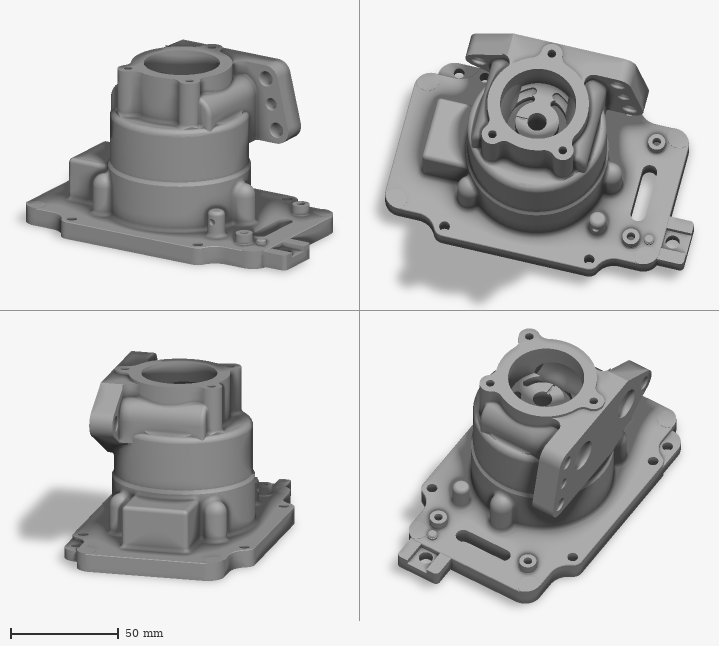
import cadquery as cq
import math

TOTAL_HEIGHT = 80.0
OVERLAP = 1.0
SEAM_TOLERANCE = 0.05

PLATE_HEIGHT = 8.5
PLATE_HALF_LENGTH = 66.0
PLATE_HALF_WIDTH = 44.0
SHOULDER_Y = 35.5
PLATE_CORNER_RADIUS = 8.0
PLATE_EDGE_CHAMFER = 0.3
SHOULDER_END_X = 48.2
SCREW_X = 34.8
EAR_RADIUS = 5.0
SCREW_Y = PLATE_HALF_WIDTH - EAR_RADIUS
SCREW_HOLE_RADIUS = 2.5
PAD_X = 60.5
PAD_Y = 31.4
PAD_RADIUS = 5.4
PAD_HEIGHT = 0.2
SLOT_X = 51.4
SLOT_LENGTH = 29.1
SLOT_WIDTH = 7.1

LUG_LEFT_X = -56.7
LUG_CORNER_RADIUS = 8.0
LUG_BOTTOM = 1.6
LUG_TOP = 6.6
LUG_HOLE_X = -47.3

TAB_END_X = 78.0
TAB_Y_MIN = -31.0
TAB_Y_MAX = -8.4
TAB_BOTTOM = 0.9
TAB_TOP = 8.3
TAB_CORNER_RADIUS = 2.0
TAB_CHANNEL_Y_MIN = -25.0
TAB_CHANNEL_Y_MAX = -14.5
TAB_CHANNEL_DEPTH = 2.5
TAB_HOLE_X = 70.2
TAB_HOLE_RADIUS = 3.3

LOWER_RADIUS = 33.5
UPPER_RADIUS = 32.5
LOWER_TOP = 30.8
UPPER_START = 32.6
BODY_TOP = 57.8
BODY_EDGE_FILLET = 3.0
BASE_FILLET = 2.0

BOX_LEFT_X = -51.7
BOX_RIGHT_X = -20.0
BOX_HALF_WIDTH = 16.0
BOX_TOP = 28.7
BOX_FILLET = 2.0

DOME_RADIUS = 5.4
DOME_CENTER_Z = 22.1
DOME_CIRCLE_RADIUS = 35.4
DOME_ANGLES = (0.0, 140.0, 220.0)

POST_X = 34.8
POST_Y = -22.9
POST_RADIUS = 4.0
POST_TOP = 20.8
POST_EDGE_FILLET = 1.9
POST_HOLE_Z = 15.9
POST_HOLE_RADIUS = 1.6

BOSS_X = 51.4
BOSS_Y = 24.8
BOSS_RADIUS = 4.0
BOSS_TOP = 13.2
BOSS_HOLE_RADIUS = 2.0
BOSS_FLARE = 0.5
PIN_X = 59.6
PIN_Y = -22.9
PIN_RADIUS = 2.3
PIN_TOP = 11.0
PIN_NECK_RADIUS = 1.9
PIN_NECK_BOTTOM = 9.5
PIN_NECK_HEIGHT = 0.6
PIN_EDGE_CHAMFER = 0.5

TOWER_Y = 2.0
TOWER_CENTER = (0.0, TOWER_Y)
TOWER_RADIUS = 23.75
TOWER_LUG_CIRCLE_RADIUS = 26.35
TOWER_LUG_RADIUS = 5.0
TOWER_LUG_ANGLES = (90.0, -50.0, -130.0)
TOWER_LUG_BLEND = 5.0
TOWER_LUG_HOLE_RADIUS = 2.0
TOWER_LUG_HOLE_DEPTH = 12.0
TOWER_BASE_FILLET = 1.8
SADDLE_FILLET = 0.8
FOOT_OVERHANG = 0.5

FLANGE_FRONT_Y = 23.4
FLANGE_BACK_Y = 34.6
FLANGE_EDGE_RADIUS = 6.6
FLANGE_LEFT_HOLE = (-33.8, 63.3)
FLANGE_TOP_HOLE = (32.9, 71.9)
FLANGE_MIDDLE_HOLE = (35.8, 59.9)
FLANGE_LOWER_HOLE = (38.7, 47.6)
FLANGE_TOP_Z = FLANGE_TOP_HOLE[1] + FLANGE_EDGE_RADIUS
FLANGE_BOTTOM_Z = FLANGE_LOWER_HOLE[1] - FLANGE_EDGE_RADIUS
FLANGE_HOLE_RADIUS = 3.4
FLANGE_MIDDLE_HOLE_RADIUS = 2.7
FLANGE_HOLE_CHAMFER = 0.35
FLANGE_BODY_FILLET = 1.5
FLANGE_WALL_FILLET = 0.8
FLANGE_SLOPE_ANGLE = 29.0
FLANGE_TOWER_BLEND = 4.4

ARCH_HALF_WIDTH = 27.7
ARCH_RADIUS = 9.0
ARCH_AXIS_X = ARCH_HALF_WIDTH - ARCH_RADIUS
ARCH_AXIS_Z = 63.3
ARCH_FRONT_Y = -17.5
ARCH_END_FILLET = 2.0

BORE_RADIUS = 17.8
BORE_FLOOR_Z = ARCH_AXIS_Z
SHAFT_HOLE_RADIUS = 4.5
PASSAGE_RADIUS = 7.4
PASSAGE_FRONT_Y = -14.0
CRESCENT_INNER_RADIUS = 10.2
CRESCENT_OUTER_RADIUS = 14.0
CRESCENT_START_ANGLE = 118.0
CRESCENT_END_ANGLE = 250.0
CRESCENT_DEPTH = 6.0
LEDGE_INNER_RADIUS = 12.0
LEDGE_OUTER_RADIUS = 15.8
LEDGE_START_ANGLE = 114.0
LEDGE_END_ANGLE = 160.0
LEDGE_DEPTH = 2.0
NOTCH_WIDTH = 1.3
NOTCH_DEPTH = 1.0


def polar(radius, angle, center=(0.0, 0.0)):
    a = math.radians(angle)
    return (center[0] + radius * math.cos(a), center[1] + radius * math.sin(a))


def cylinder(center, radius, bottom, top):
    """Vertical cylinder between two heights."""
    return cq.Workplane("XY", origin=(center[0], center[1], bottom)).circle(radius).extrude(top - bottom)


def box(x_min, x_max, y_min, y_max, z_min, z_max):
    size = (x_max - x_min, y_max - y_min, z_max - z_min)
    return cq.Workplane("XY").box(*size, centered=False).translate((x_min, y_min, z_min))


def along_y(front_y, back_y):
    """XZ sketch plane at a given Y, with the length that reaches back to another Y."""
    return cq.Workplane("XZ", origin=(0, front_y, 0)), front_y - back_y


def arc_slot(center, inner, outer, start, end, top, depth):
    """Round-ended arc slot sunk from a given height."""
    middle = (inner + outer) / 2
    half_width = (outer - inner) / 2
    mid_angle = (start + end) / 2
    sketch = (
        cq.Workplane("XY", origin=(0, 0, top - depth))
        .moveTo(*polar(outer, start, center))
        .threePointArc(polar(outer, mid_angle, center), polar(outer, end, center))
        .lineTo(*polar(inner, end, center))
        .threePointArc(polar(inner, mid_angle, center), polar(inner, start, center))
        .close()
    )
    slot = sketch.extrude(depth)
    for angle in (start, end):
        slot = slot.union(cylinder(polar(middle, angle, center), half_width, top - depth, top))
    return slot


def plate_blank(height):
    """Plate outline: rounded rectangle whose long sides step out through S-curves to the screw ears."""
    rise = SCREW_Y - SHOULDER_Y
    run = SHOULDER_END_X - SCREW_X
    hollow = (run**2 + rise**2 - EAR_RADIUS**2) / (2 * (EAR_RADIUS + rise))
    hollow_y = SHOULDER_Y + hollow
    share = EAR_RADIUS / (EAR_RADIUS + hollow)
    join = (SCREW_X + share * run, SCREW_Y + share * (hollow_y - SCREW_Y))
    hollow_angle = (270 + math.degrees(math.atan2(join[1] - hollow_y, join[0] - SHOULDER_END_X)) % 360) / 2
    hollow_mid = polar(hollow, hollow_angle, (SHOULDER_END_X, hollow_y))
    ear_angle = (90 + math.degrees(math.atan2(join[1] - SCREW_Y, join[0] - SCREW_X))) / 2
    ear_mid = polar(EAR_RADIUS, ear_angle, (SCREW_X, SCREW_Y))

    corner_x = PLATE_HALF_LENGTH - PLATE_CORNER_RADIUS
    corner_y = SHOULDER_Y - PLATE_CORNER_RADIUS
    corner_mid = polar(PLATE_CORNER_RADIUS, 45, (corner_x, corner_y))
    quarter = (
        cq.Workplane("XY")
        .lineTo(PLATE_HALF_LENGTH, 0)
        .lineTo(PLATE_HALF_LENGTH, corner_y)
        .threePointArc(corner_mid, (corner_x, SHOULDER_Y))
        .lineTo(SHOULDER_END_X, SHOULDER_Y)
        .threePointArc(hollow_mid, join)
        .threePointArc(ear_mid, (SCREW_X, PLATE_HALF_WIDTH))
        .lineTo(0, PLATE_HALF_WIDTH)
        .close()
        .extrude(height)
    )
    half = quarter.union(quarter.mirror("YZ"))
    return half.union(half.mirror("XZ")).clean()


def base_blank():
    """Plate outline with its chamfered top edge, without pads, lug or tab."""
    return plate_blank(PLATE_HEIGHT).faces(">Z").edges().chamfer(PLATE_EDGE_CHAMFER)


def rear_lug():
    lug = box(LUG_LEFT_X, -SCREW_X, SHOULDER_Y - OVERLAP, PLATE_HALF_WIDTH, LUG_BOTTOM, LUG_TOP)
    return lug.edges("|Z and <X and >Y").fillet(LUG_CORNER_RADIUS)


def side_tab():
    tab = box(PLATE_HALF_LENGTH - OVERLAP, TAB_END_X, TAB_Y_MIN, TAB_Y_MAX, TAB_BOTTOM, TAB_TOP)
    tab = tab.edges("|Z and >X").fillet(TAB_CORNER_RADIUS)
    floor_z = TAB_TOP - TAB_CHANNEL_DEPTH
    channel = box(PLATE_HALF_LENGTH, TAB_END_X, TAB_CHANNEL_Y_MIN, TAB_CHANNEL_Y_MAX, floor_z, TAB_TOP)
    hole_y = (TAB_CHANNEL_Y_MIN + TAB_CHANNEL_Y_MAX) / 2
    return tab.cut(channel).cut(cylinder((TAB_HOLE_X, hole_y), TAB_HOLE_RADIUS, 0, TAB_TOP))


def base_plate():
    pads = cq.Workplane("XY").rect(2 * PAD_X, 2 * PAD_Y, forConstruction=True).vertices()
    pads = pads.circle(PAD_RADIUS).extrude(PLATE_HEIGHT + PAD_HEIGHT)
    pads = pads.intersect(plate_blank(PLATE_HEIGHT + PAD_HEIGHT))
    return base_blank().union(pads).union(rear_lug()).union(side_tab())


def round_body():
    return (
        cq.Workplane("XZ")
        .lineTo(LOWER_RADIUS, 0)
        .lineTo(LOWER_RADIUS, LOWER_TOP)
        .lineTo(UPPER_RADIUS, UPPER_START)
        .lineTo(UPPER_RADIUS, BODY_TOP)
        .lineTo(0, BODY_TOP)
        .close()
        .revolve(360, (0, 0, 0), (0, 1, 0))
        .faces(">Z")
        .edges()
        .fillet(BODY_EDGE_FILLET)
    )


def side_box():
    block = box(BOX_LEFT_X, BOX_RIGHT_X, -BOX_HALF_WIDTH, BOX_HALF_WIDTH, 0, BOX_TOP)
    return block.edges("(|Z and <X) or (>Z and (not >X))").fillet(BOX_FILLET)


def domed_post(center):
    dome = cq.Workplane("XY").sphere(DOME_RADIUS).translate((center[0], center[1], DOME_CENTER_Z))
    return cylinder(center, DOME_RADIUS, 0, DOME_CENTER_Z).union(dome)


def cross_hole_post():
    post = cylinder((POST_X, POST_Y), POST_RADIUS, 0, POST_TOP)
    return post.faces(">Z").edges().fillet(POST_EDGE_FILLET)


def post_cross_hole():
    plane, length = along_y(POST_Y - POST_RADIUS, POST_Y)
    return plane.center(POST_X, POST_HOLE_Z).circle(POST_HOLE_RADIUS).extrude(length)


def fillet_seams(shape):
    """Blend the seams where an attachment meets the lower body wall."""

    def on_wall(point):
        return abs(math.hypot(point.x, point.y) - LOWER_RADIUS) < SEAM_TOLERANCE

    seams = []
    for edge in shape.edges().vals():
        at_bottom = edge.BoundingBox().zmax < PLATE_HEIGHT
        if on_wall(edge.startPoint()) and on_wall(edge.endPoint()) and not at_bottom:
            if edge.BoundingBox().zmax < LOWER_TOP - SEAM_TOLERANCE:
                seams.append(edge)
    return shape.newObject(seams).fillet(BASE_FILLET)


def fillet_foot(shape):
    """Fillet where a shape standing on the plate meets its top face."""
    reach_y = LOWER_RADIUS + 2 * SEAM_TOLERANCE
    foot_zone = cq.selectors.BoxSelector(
        (BOX_LEFT_X - 2 * SEAM_TOLERANCE, -reach_y, PLATE_HEIGHT - SEAM_TOLERANCE),
        (SLOT_X, reach_y, PLATE_HEIGHT + SEAM_TOLERANCE),
        boundingbox=True,
    )
    return base_blank().union(shape).edges(foot_zone).fillet(BASE_FILLET)


def lower_housing():
    """Plate, body, box and posts with the fillets around their feet."""
    domed_body = round_body()
    for angle in DOME_ANGLES:
        domed_body = domed_body.union(domed_post(polar(DOME_CIRCLE_RADIUS, angle)))
    boxed_body = round_body().union(side_box())
    foot_reach = BOX_HALF_WIDTH + 2 * BASE_FILLET
    box_zone = box(-PLATE_HALF_LENGTH, BOX_RIGHT_X, -foot_reach, foot_reach, PLATE_HEIGHT / 2, UPPER_START)
    housing = base_plate().union(fillet_foot(fillet_seams(domed_body)))
    housing = housing.union(fillet_foot(fillet_seams(boxed_body)).intersect(box_zone))
    return housing.union(fillet_foot(cross_hole_post())).cut(post_cross_hole())


def boss(y):
    """Small boss on the plate with a 45 degree flare at its foot."""
    flare = cq.Workplane("XY", origin=(BOSS_X, y, PLATE_HEIGHT)).circle(BOSS_RADIUS + BOSS_FLARE)
    flare = flare.extrude(BOSS_FLARE, taper=45)
    return cylinder((BOSS_X, y), BOSS_RADIUS, 0, BOSS_TOP).union(flare)


def locating_pin():
    pin = cylinder((PIN_X, PIN_Y), PIN_RADIUS, 0, PIN_TOP).faces(">Z").edges().chamfer(PIN_EDGE_CHAMFER)
    neck_top = PIN_NECK_BOTTOM + PIN_NECK_HEIGHT
    ring = cylinder((PIN_X, PIN_Y), PIN_RADIUS, PIN_NECK_BOTTOM, neck_top)
    return pin.cut(ring.cut(cylinder((PIN_X, PIN_Y), PIN_NECK_RADIUS, PIN_NECK_BOTTOM, neck_top)))


def tower_lug_centers():
    return [polar(TOWER_LUG_CIRCLE_RADIUS, angle, TOWER_CENTER) for angle in TOWER_LUG_ANGLES]


def tower():
    shaft = cylinder(TOWER_CENTER, TOWER_RADIUS, BODY_TOP, TOTAL_HEIGHT)
    for center in tower_lug_centers():
        shaft = shaft.union(cylinder(center, TOWER_LUG_RADIUS, BODY_TOP, TOTAL_HEIGHT))
    joints = [edge for edge in shaft.edges("|Z").vals() if is_lug_joint(edge)]
    return shaft.newObject(joints).fillet(TOWER_LUG_BLEND)


def is_lug_joint(edge):
    """True where a lug wall meets the round tower wall."""
    middle = edge.Center()
    on_tower = abs(math.hypot(middle.x, middle.y - TOWER_Y) - TOWER_RADIUS) < SEAM_TOLERANCE
    lug_distance = min(math.hypot(middle.x - x, middle.y - y) for x, y in tower_lug_centers())
    on_lug = abs(lug_distance - TOWER_LUG_RADIUS) < SEAM_TOLERANCE
    return on_tower and on_lug


def flange_blank(front_y):
    """Flange outline drawn around its three outer holes, extruded forward to a given Y."""
    r = FLANGE_EDGE_RADIUS
    upper_tangent = polar(r, 90 + FLANGE_SLOPE_ANGLE, FLANGE_LEFT_HOLE)
    lower_tangent = polar(r, 270 - FLANGE_SLOPE_ANGLE, FLANGE_LEFT_HOLE)
    slope = math.tan(math.radians(FLANGE_SLOPE_ANGLE))
    slope_top_x = upper_tangent[0] + (FLANGE_TOP_Z - upper_tangent[1]) / slope
    slope_bottom_x = lower_tangent[0] + (lower_tangent[1] - FLANGE_BOTTOM_Z) / slope
    side_dx = FLANGE_LOWER_HOLE[0] - FLANGE_TOP_HOLE[0]
    side_dz = FLANGE_TOP_HOLE[1] - FLANGE_LOWER_HOLE[1]
    side_normal = math.degrees(math.atan2(side_dx, side_dz))
    plane, length = along_y(front_y, FLANGE_BACK_Y)
    return (
        plane.moveTo(*lower_tangent)
        .threePointArc(polar(r, 180, FLANGE_LEFT_HOLE), upper_tangent)
        .lineTo(slope_top_x, FLANGE_TOP_Z)
        .lineTo(FLANGE_TOP_HOLE[0], FLANGE_TOP_Z)
        .threePointArc(
            polar(r, (90 + side_normal) / 2, FLANGE_TOP_HOLE), polar(r, side_normal, FLANGE_TOP_HOLE)
        )
        .lineTo(*polar(r, side_normal, FLANGE_LOWER_HOLE))
        .threePointArc(
            polar(r, (side_normal - 90) / 2, FLANGE_LOWER_HOLE), (FLANGE_LOWER_HOLE[0], FLANGE_BOTTOM_Z)
        )
        .lineTo(slope_bottom_x, FLANGE_BOTTOM_Z)
        .close()
        .extrude(length)
    )


def flange_hole(center, radius):
    """Hole through the flange with a small chamfer at its front mouth."""
    plane, length = along_y(FLANGE_FRONT_Y, FLANGE_BACK_Y)
    hole = plane.center(*center).circle(radius).extrude(length)
    mouth = plane.center(*center).circle(radius + FLANGE_HOLE_CHAMFER).workplane(offset=-FLANGE_HOLE_CHAMFER)
    return hole.union(mouth.circle(radius).loft())


def flange_holes():
    holes = flange_hole(FLANGE_MIDDLE_HOLE, FLANGE_MIDDLE_HOLE_RADIUS)
    for center in (FLANGE_LEFT_HOLE, FLANGE_TOP_HOLE, FLANGE_LOWER_HOLE):
        holes = holes.union(flange_hole(center, FLANGE_HOLE_RADIUS))
    return holes


def flange():
    """Flange with the fillet along its underside where it leaves the body wall."""
    joined = round_body().union(flange_blank(FLANGE_FRONT_Y))

    def on_body(point):
        return abs(math.hypot(point.x, point.y) - UPPER_RADIUS) < SEAM_TOLERANCE

    seams = []
    for edge in joined.edges().vals():
        bounds = edge.BoundingBox()
        below_top = UPPER_START < bounds.zmin and bounds.zmax < BODY_TOP - BODY_EDGE_FILLET
        if on_body(edge.startPoint()) and on_body(edge.endPoint()) and below_top:
            seams.append(edge)
    blended = joined.newObject(seams).fillet(FLANGE_BODY_FILLET)
    reach = PLATE_HALF_LENGTH
    return blended.intersect(box(-reach, reach, 0, FLANGE_BACK_Y, UPPER_START, TOTAL_HEIGHT))


def flange_tower_web():
    """Material between tower and flange, hollowed by an upright blend on both sides."""
    blend_y = FLANGE_FRONT_Y - FLANGE_TOWER_BLEND
    reach = TOWER_RADIUS + FLANGE_TOWER_BLEND
    blend_x = math.sqrt(reach**2 - (blend_y - TOWER_Y) ** 2)
    share = TOWER_RADIUS / reach
    tangent = (blend_x * share, TOWER_Y + (blend_y - TOWER_Y) * share)
    height = FLANGE_TOP_Z - BODY_TOP
    half = (
        cq.Workplane("XY", origin=(0, 0, BODY_TOP))
        .polyline([TOWER_CENTER, tangent, (blend_x, blend_y), (blend_x, FLANGE_FRONT_Y), (0, FLANGE_FRONT_Y)])
        .close()
        .extrude(height)
        .cut(cylinder((blend_x, blend_y), FLANGE_TOWER_BLEND, BODY_TOP, FLANGE_TOP_Z))
    )
    return half.union(half.mirror("YZ"))


def passage_walls():
    """Arched walls on both sides of the tower, trimmed below by the flange outline."""
    plane, length = along_y(ARCH_FRONT_Y, FLANGE_BACK_Y)
    arch_top = ARCH_AXIS_Z + ARCH_RADIUS
    outline = (
        plane.moveTo(-ARCH_HALF_WIDTH, FLANGE_BOTTOM_Z)
        .lineTo(-ARCH_HALF_WIDTH, ARCH_AXIS_Z)
        .threePointArc(polar(ARCH_RADIUS, 135, (-ARCH_AXIS_X, ARCH_AXIS_Z)), (-ARCH_AXIS_X, arch_top))
        .lineTo(ARCH_AXIS_X, arch_top)
        .threePointArc(polar(ARCH_RADIUS, 45, (ARCH_AXIS_X, ARCH_AXIS_Z)), (ARCH_HALF_WIDTH, ARCH_AXIS_Z))
        .lineTo(ARCH_HALF_WIDTH, FLANGE_BOTTOM_Z)
        .close()
    )
    walls = outline.extrude(length).faces("<Y").edges("not <Z").fillet(ARCH_END_FILLET)
    return walls.intersect(flange_blank(ARCH_FRONT_Y))


def walled_flange():
    """Flange and passage walls with the small fillet where the walls meet the flange face."""
    joined = flange_blank(FLANGE_FRONT_Y).union(passage_walls())
    joint_zone = cq.selectors.BoxSelector(
        (-UPPER_RADIUS, FLANGE_FRONT_Y - SEAM_TOLERANCE, FLANGE_BOTTOM_Z + SEAM_TOLERANCE),
        (UPPER_RADIUS, FLANGE_FRONT_Y + SEAM_TOLERANCE, ARCH_AXIS_Z + ARCH_RADIUS + SEAM_TOLERANCE),
        boundingbox=True,
    )
    return joined.edges(joint_zone).edges("not <Z").fillet(FLANGE_WALL_FILLET)


def blend_walls_to_tower(shape):
    """Small blend along the saddle curves where the arched walls run into the round tower."""
    saddles = []
    for edge in shape.edges("not(%LINE or %CIRCLE)").vals():
        start = edge.startPoint()
        on_tower = abs(math.hypot(start.x, start.y - TOWER_Y) - TOWER_RADIUS) < SEAM_TOLERANCE
        if on_tower and ARCH_AXIS_Z < start.z < FLANGE_TOP_Z:
            saddles.append(edge)
    return shape.newObject(saddles).fillet(SADDLE_FILLET)


def tower_and_walls():
    """Tower and passage walls with the fillet at their feet, trimmed near the rim of the body top."""
    span = 4 * UPPER_RADIUS
    slab = cq.Workplane("XY", origin=(0, 0, BODY_TOP)).rect(span, span).extrude(-BODY_EDGE_FILLET)
    walls_above = passage_walls().intersect(box(-span, span, -span, span, BODY_TOP, TOTAL_HEIGHT))
    standing = slab.union(blend_walls_to_tower(tower().union(walls_above)))
    foot_zone = cq.selectors.BoxSelector(
        (-UPPER_RADIUS, -UPPER_RADIUS, BODY_TOP - SEAM_TOLERANCE),
        (UPPER_RADIUS, FLANGE_BACK_Y + SEAM_TOLERANCE, BODY_TOP + SEAM_TOLERANCE),
        boundingbox=True,
    )
    footed = standing.edges(foot_zone).fillet(TOWER_BASE_FILLET)
    seat = cylinder((0, 0), UPPER_RADIUS - BODY_EDGE_FILLET + FOOT_OVERHANG, BODY_TOP, TOTAL_HEIGHT)
    return standing.cut(slab).union(footed.intersect(seat))


def passages():
    """Round passages that cut into the sides of the bore and open at the back of the flange."""
    plane, length = along_y(PASSAGE_FRONT_Y, FLANGE_BACK_Y)
    centers = [(side * ARCH_AXIS_X, ARCH_AXIS_Z) for side in (-1, 1)]
    return plane.pushPoints(centers).circle(PASSAGE_RADIUS).extrude(length)


def bore():
    hollow = cylinder(TOWER_CENTER, BORE_RADIUS, BORE_FLOOR_Z, TOTAL_HEIGHT)
    hollow = hollow.union(cylinder((0, 0), SHAFT_HOLE_RADIUS, 0, BORE_FLOOR_Z))
    crescent = arc_slot(
        (0, 0), CRESCENT_INNER_RADIUS, CRESCENT_OUTER_RADIUS,
        CRESCENT_START_ANGLE, CRESCENT_END_ANGLE, BORE_FLOOR_Z, CRESCENT_DEPTH,
    )
    ledge = arc_slot(
        TOWER_CENTER, LEDGE_INNER_RADIUS, LEDGE_OUTER_RADIUS,
        LEDGE_START_ANGLE, LEDGE_END_ANGLE, BORE_FLOOR_Z, LEDGE_DEPTH,
    )
    notch = box(
        -CRESCENT_INNER_RADIUS, 0, -NOTCH_WIDTH / 2, NOTCH_WIDTH / 2, BORE_FLOOR_Z - NOTCH_DEPTH, BORE_FLOOR_Z
    )
    slots = crescent.union(ledge)
    return hollow.union(slots).union(slots.mirror("YZ")).union(notch)


def vertical_holes():
    holes = cq.Workplane("XY").rect(2 * SCREW_X, 2 * SCREW_Y, forConstruction=True).vertices()
    holes = holes.circle(SCREW_HOLE_RADIUS).extrude(PLATE_HEIGHT)
    holes = holes.union(cylinder((LUG_HOLE_X, SCREW_Y), SCREW_HOLE_RADIUS, 0, PLATE_HEIGHT))
    slot = cq.Workplane("XY").center(SLOT_X, 0).slot2D(SLOT_LENGTH, SLOT_WIDTH, 90).extrude(PLATE_HEIGHT)
    holes = holes.union(slot)
    for y in (-BOSS_Y, BOSS_Y):
        holes = holes.union(cylinder((BOSS_X, y), BOSS_HOLE_RADIUS, PLATE_HEIGHT, BOSS_TOP))
    for center in tower_lug_centers():
        hole_bottom = TOTAL_HEIGHT - TOWER_LUG_HOLE_DEPTH
        holes = holes.union(cylinder(center, TOWER_LUG_HOLE_RADIUS, hole_bottom, TOTAL_HEIGHT))
    return holes


part = lower_housing()
for side_y in (-BOSS_Y, BOSS_Y):
    part = part.union(boss(side_y))
part = part.union(locating_pin())
part = part.union(tower_and_walls()).union(flange()).union(walled_flange()).union(flange_tower_web())
result = part.cut(flange_holes()).cut(passages()).cut(bore()).cut(vertical_holes())